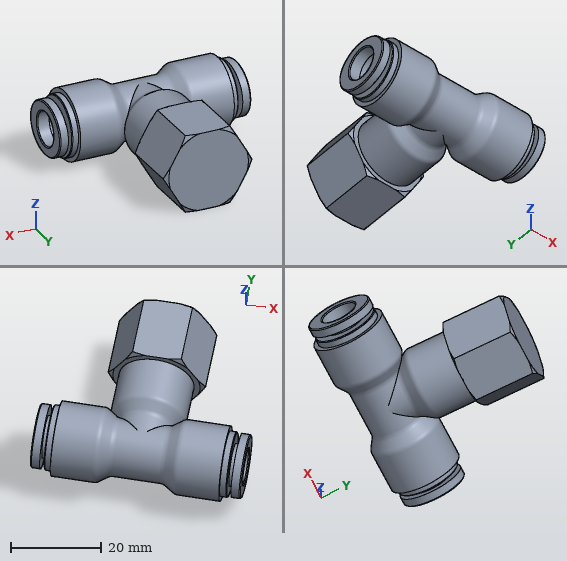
import cadquery as cq
import math


ARM_LENGTH = 18.95
ARM_RADIUS = 16.9 / 2
NECK_RADIUS = 6.5
NECK_LENGTH = 5.35
SHOULDER_START = 9.5
SHOULDER_FILLET = 2.0

BORE_RADIUS = 8.2 / 2
BORE_FLOOR = SHOULDER_START
BORE_CHAMFER = 0.25

RING_RADIUS = 14.7 / 2
RING_LENGTH = 1.6
RING_CHAMFER = 0.2
RING_END = ARM_LENGTH + RING_LENGTH

RUN_HALF_LENGTH = 47.2 / 2
SLEEVE_NECK_RADIUS = 9.6 / 2
COLLAR_THICKNESS = 2.1
COLLAR_WIDTH = 15.0
COLLAR_HEIGHT = 13.0
COLLAR_CHAMFER = 0.25

NUT_END = 42.45 - ARM_RADIUS
NUT_LENGTH = NUT_END - ARM_LENGTH
NUT_ACROSS_FLATS = 19.0
NUT_FACE_RADIUS = 9.8
NUT_CHAMFER_ANGLE = 25.0


def cylinder(radius, start, end):
    """Cylinder along +X between two X positions."""
    return cq.Workplane("YZ", origin=(start, 0, 0)).circle(radius).extrude(end - start)


def make_arm():
    """One arm along +X: neck, then a conical shoulder blended by two equal fillets, then the barrel."""
    run = SHOULDER_START - NECK_LENGTH
    rise = ARM_RADIUS - NECK_RADIUS
    half_rise = rise / 2
    centre_dx = -run / 2
    centre_dy = SHOULDER_FILLET - half_rise
    distance = math.hypot(centre_dx, centre_dy)
    slope = math.asin(SHOULDER_FILLET / distance) - math.atan2(centre_dy, -centre_dx)

    def on_fillet(angle):
        """Offset of a fillet point from the fillet's flat end, after turning by the angle."""
        return SHOULDER_FILLET * math.sin(angle), SHOULDER_FILLET * (1 - math.cos(angle))

    half_x, half_r = on_fillet(slope / 2)
    full_x, full_r = on_fillet(slope)
    profile = (
        cq.Workplane("XY")
        .lineTo(0, NECK_RADIUS)
        .lineTo(NECK_LENGTH, NECK_RADIUS)
        .threePointArc(
            (NECK_LENGTH + half_x, NECK_RADIUS + half_r),
            (NECK_LENGTH + full_x, NECK_RADIUS + full_r),
        )
        .lineTo(SHOULDER_START - full_x, ARM_RADIUS - full_r)
        .threePointArc(
            (SHOULDER_START - half_x, ARM_RADIUS - half_r),
            (SHOULDER_START, ARM_RADIUS),
        )
        .lineTo(ARM_LENGTH, ARM_RADIUS)
        .lineTo(ARM_LENGTH, 0)
        .close()
    )
    return profile.revolve(360, (0, 0, 0), (1, 0, 0))


def turned(body, angle):
    """Body turned about Z, from the +X arm to another arm."""
    return body.rotate((0, 0, 0), (0, 0, 1), angle)


def make_housing():
    """Three equal arms, with a blind tube bore in each end of the run."""
    arm = make_arm()
    bore = cylinder(BORE_RADIUS, BORE_FLOOR, ARM_LENGTH)
    bored_arm = arm.cut(bore)
    return bored_arm.union(turned(bored_arm, 180)).union(turned(arm, 90))


def make_ring():
    """End ring on the +X face, its outer front edge chamfered."""
    ring = cylinder(RING_RADIUS, ARM_LENGTH, RING_END).faces(">X").chamfer(RING_CHAMFER)
    return ring.cut(cylinder(BORE_RADIUS, ARM_LENGTH, RING_END))


def make_sleeve():
    """Release sleeve at the +X end: a round neck and an oval collar, with a chamfered bore mouth."""
    collar = (
        cq.Workplane("YZ", origin=(RUN_HALF_LENGTH - COLLAR_THICKNESS, 0, 0))
        .ellipse(COLLAR_WIDTH / 2, COLLAR_HEIGHT / 2)
        .extrude(COLLAR_THICKNESS)
        .faces(">X")
        .chamfer(COLLAR_CHAMFER)
    )
    sleeve = collar.union(cylinder(SLEEVE_NECK_RADIUS, RING_END, RUN_HALF_LENGTH - COLLAR_THICKNESS))
    sleeve = sleeve.cut(cylinder(BORE_RADIUS, RING_END, RUN_HALF_LENGTH))
    return sleeve.faces(">X").edges("%CIRCLE").chamfer(BORE_CHAMFER)


def make_nut():
    """Hexagonal nut on the end of the branch, two flats facing +Z and -Z, corners chamfered at both ends."""
    corner_radius = NUT_ACROSS_FLATS / 2 / math.cos(math.radians(30))
    chamfer_length = (corner_radius - NUT_FACE_RADIUS) * math.tan(math.radians(NUT_CHAMFER_ANGLE))
    hexagon = (
        cq.Workplane("XZ", origin=(0, ARM_LENGTH, 0))
        .polygon(6, 2 * corner_radius)
        .extrude(-NUT_LENGTH)
    )
    envelope = (
        cq.Workplane("XY", origin=(0, ARM_LENGTH, 0))
        .lineTo(NUT_FACE_RADIUS, 0)
        .lineTo(corner_radius, chamfer_length)
        .lineTo(corner_radius, NUT_LENGTH - chamfer_length)
        .lineTo(NUT_FACE_RADIUS, NUT_LENGTH)
        .lineTo(0, NUT_LENGTH)
        .close()
        .revolve(360, (0, 0, 0), (0, 1, 0))
    )
    return hexagon.intersect(envelope)


housing = make_housing()
nut = make_nut()
ring = make_ring()
sleeve = make_sleeve()

bodies = [housing.val(), nut.val()]
for run_angle in (0, 180):
    bodies.append(turned(ring, run_angle).val())
    bodies.append(turned(sleeve, run_angle).val())

result = cq.Compound.makeCompound(bodies)